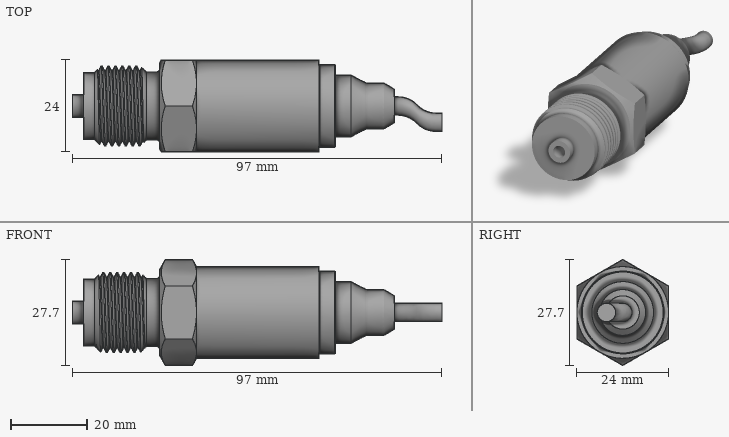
import cadquery as cq
import math


TOTAL_LENGTH = 96.95

NIPPLE_END = 3.0
THREAD_START = 5.8
THREAD_END = 19.4
NECK_END = 22.9
HEX_END = 32.6
HOUSING_END = 64.7
FLANGE_END = 69.0
SHOULDER_END = 73.1
TAPER_END = 77.2
SLEEVE_END = 81.6
GLAND_END = 84.4

BORE_DIAMETER = 3.3
NIPPLE_DIAMETER = 6.0
COLLAR_DIAMETER = 17.5
NECK_DIAMETER = 17.8
NECK_FILLET = 0.82

THREAD_CREST_DIAMETER = 20.9
THREAD_ROOT_DIAMETER = 18.6
THREAD_TURNS = 6
THREAD_TURNS_LENGTH = 10.9
THREAD_PITCH = THREAD_TURNS_LENGTH / THREAD_TURNS
THREAD_FLANK_ANGLE = 55.0
THREAD_ROOT_FLAT = 0.3
THREAD_CREST_ABOVE_AXIS = 8.1

GROOVE_CLEARANCE = 0.1
GROOVE_TURNS = 10
GROOVE_START = THREAD_CREST_ABOVE_AXIS - (0.5 + 2) * THREAD_PITCH

TUBE_DIAMETER = 24.0
HEX_ACROSS_FLATS = TUBE_DIAMETER
HEX_FACE_DIAMETER = 22.6
HEX_CHAMFER_ANGLE = 30.0

FLANGE_DIAMETER = 21.7
FLANGE_CHAMFER = 0.24
SHOULDER_DIAMETER = 16.2
SLEEVE_DIAMETER = 12.0
GLAND_TIP_DIAMETER = 8.7
SLEEVE_FILLET = 0.8
TAPER_SAG = 0.1
NOSE_SAG = 0.05

CABLE_DIAMETER = 4.8
CABLE_OFFSET = 4.3
CABLE_LEAD = 1.0
CABLE_BEND_LENGTH = 9.9


def axial_cylinder(start, end, diameter):
    """Cylinder on the X axis between two stations."""
    return cq.Workplane("YZ", origin=(start, 0, 0)).circle(diameter / 2).extrude(end - start)


def revolved(outline):
    """Solid of revolution about X from an outline in the XY plane."""
    return outline.close().revolve(360, (0, 0, 0), (1, 0, 0))


def thread_groove():
    """Helical trapezoidal cutter around Z, bounded by ruled faces between its four edge helices."""
    root_radius = THREAD_ROOT_DIAMETER / 2
    outer_radius = THREAD_CREST_DIAMETER / 2 + GROOVE_CLEARANCE
    half_root = THREAD_ROOT_FLAT / 2
    flank = (outer_radius - root_radius) * math.tan(math.radians(THREAD_FLANK_ANGLE / 2))
    length = GROOVE_TURNS * THREAD_PITCH

    corners = [
        (root_radius, -half_root),
        (root_radius, half_root),
        (outer_radius, half_root + flank),
        (outer_radius, -half_root - flank),
    ]
    helices = [
        cq.Wire.makeHelix(THREAD_PITCH, length, radius, center=cq.Vector(0, 0, height))
        for radius, height in corners
    ]
    faces = [cq.Face.makeRuledSurface(helices[i - 1], helices[i]) for i in range(len(helices))]
    for end in (0, length):
        points = [cq.Vector(radius, 0, height + end) for radius, height in corners]
        faces.append(cq.Face.makeFromWires(cq.Wire.makePolygon(points, close=True)))
    return cq.Workplane(cq.Solid.makeSolid(cq.Shell.makeShell(faces)))


def threaded_section():
    """Thread blank with 45 degree lead-in cones at both ends, cut by the helical groove."""
    crest_radius = THREAD_CREST_DIAMETER / 2
    start_radius = COLLAR_DIAMETER / 2
    end_radius = NECK_DIAMETER / 2

    start = THREAD_START - GROOVE_START
    end = THREAD_END - GROOVE_START
    blank = (
        cq.Workplane("XZ")
        .moveTo(0, start)
        .lineTo(-start_radius, start)
        .lineTo(-crest_radius, start + crest_radius - start_radius)
        .lineTo(-crest_radius, end - crest_radius + end_radius)
        .lineTo(-end_radius, end)
        .lineTo(0, end)
        .close()
        .revolve(360, (0, 0, 0), (0, 1, 0))
    )
    thread = blank.cut(thread_groove())

    thread = thread.rotate((0, 0, 0), (0, 1, 0), 90).rotate((0, 0, 0), (1, 0, 0), 180)
    return thread.translate((GROOVE_START, 0, 0))


def neck():
    """Plain neck behind the thread, with a fillet into the hexagon face."""
    radius = NECK_DIAMETER / 2
    mid = NECK_FILLET * (1 - math.sqrt(0.5))
    return revolved(
        cq.Workplane("XY")
        .moveTo(THREAD_END, 0)
        .lineTo(THREAD_END, radius)
        .lineTo(NECK_END - NECK_FILLET, radius)
        .threePointArc((NECK_END - mid, radius + mid), (NECK_END, radius + NECK_FILLET))
        .lineTo(NECK_END, 0)
    )


def hexagon():
    """Hexagon with corners up and down, its corners chamfered by cones at both ends."""
    corner_radius = HEX_ACROSS_FLATS / math.sqrt(3)
    slope = math.tan(math.radians(HEX_CHAMFER_ANGLE))
    face_radius = HEX_FACE_DIAMETER / 2
    tube_radius = TUBE_DIAMETER / 2
    prism = (
        cq.Workplane("YZ", origin=(NECK_END, 0, 0))
        .polygon(6, 2 * corner_radius)
        .extrude(HEX_END - NECK_END)
        .rotate((0, 0, 0), (1, 0, 0), 90)
    )
    chamfer_envelope = revolved(
        cq.Workplane("XY")
        .moveTo(NECK_END, 0)
        .lineTo(NECK_END, face_radius)
        .lineTo(NECK_END + (corner_radius - face_radius) * slope, corner_radius)
        .lineTo(HEX_END - (corner_radius - tube_radius) * slope, corner_radius)
        .lineTo(HEX_END, tube_radius)
        .lineTo(HEX_END, 0)
    )
    return prism.intersect(chamfer_envelope)


def make_housing():
    """Nipple, collar, thread, neck, hexagon and tube in one piece, with the pressure bore."""
    body = (
        axial_cylinder(0, NIPPLE_END, NIPPLE_DIAMETER)
        .union(axial_cylinder(NIPPLE_END, THREAD_START, COLLAR_DIAMETER))
        .union(threaded_section())
        .union(neck())
        .union(hexagon())
        .union(axial_cylinder(HEX_END, HOUSING_END, TUBE_DIAMETER))
    )
    return body.cut(axial_cylinder(0, NECK_END, BORE_DIAMETER))


def make_gland():
    """Chamfered flange, shoulder, concave taper, sleeve and convex nose."""
    flange_radius = FLANGE_DIAMETER / 2
    shoulder_radius = SHOULDER_DIAMETER / 2
    sleeve_radius = SLEEVE_DIAMETER / 2
    tip_radius = GLAND_TIP_DIAMETER / 2
    taper_middle = ((SHOULDER_END + TAPER_END) / 2, (shoulder_radius + sleeve_radius) / 2 - TAPER_SAG)
    nose_middle = ((SLEEVE_END + GLAND_END) / 2, (sleeve_radius + tip_radius) / 2 + NOSE_SAG)
    gland_body = revolved(
        cq.Workplane("XY")
        .moveTo(HOUSING_END, 0)
        .lineTo(HOUSING_END, flange_radius - FLANGE_CHAMFER)
        .lineTo(HOUSING_END + FLANGE_CHAMFER, flange_radius)
        .lineTo(FLANGE_END - FLANGE_CHAMFER, flange_radius)
        .lineTo(FLANGE_END, flange_radius - FLANGE_CHAMFER)
        .lineTo(FLANGE_END, shoulder_radius)
        .lineTo(SHOULDER_END, shoulder_radius)
        .threePointArc(taper_middle, (TAPER_END, sleeve_radius))
        .lineTo(SLEEVE_END, sleeve_radius)
        .threePointArc(nose_middle, (GLAND_END, tip_radius))
        .lineTo(GLAND_END, 0)
    )
    margin = 0.5
    sleeve_ends = cq.selectors.BoxSelector(
        (TAPER_END - margin, -margin, -margin), (SLEEVE_END + margin, margin, margin)
    )
    return gland_body.edges(sleeve_ends).fillet(SLEEVE_FILLET)


def make_cable():
    """Round cable with an S-bend of two equal tangent arcs that shifts it towards -Y."""
    bend_start = GLAND_END + CABLE_LEAD
    half_bend = (CABLE_BEND_LENGTH / 2, -CABLE_OFFSET / 2)
    path = (
        cq.Workplane("XY")
        .moveTo(GLAND_END, 0)
        .lineTo(bend_start, 0)
        .tangentArcPoint(half_bend)
        .tangentArcPoint(half_bend)
        .lineTo(TOTAL_LENGTH, -CABLE_OFFSET)
    )
    section = cq.Workplane("YZ", origin=(GLAND_END, 0, 0)).circle(CABLE_DIAMETER / 2)
    return section.sweep(path, normal=(1, 0, 0))


housing = make_housing()
gland = make_gland()
cable = make_cable()

result = cq.Compound.makeCompound([housing.val(), gland.val(), cable.val()])